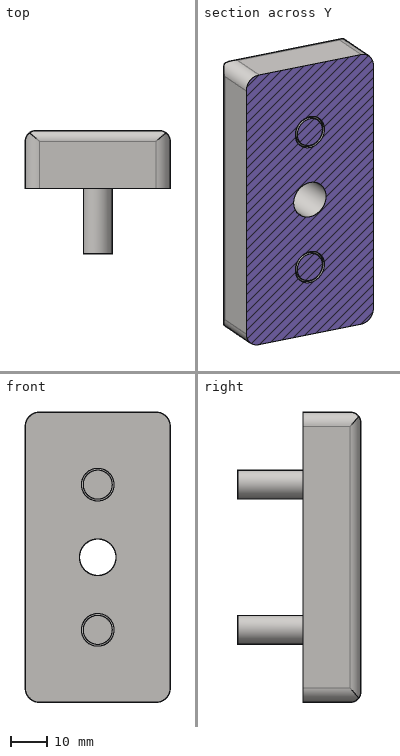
import cadquery as cq

block_width = 40.0
block_depth = 16.0
block_height = 80.0
corner_radius = 4.0
back_edge_radius = 3.0

center_hole_diameter = 10.0

pin_diameter = 8.0
pin_projection = 18.0
pin_spacing = 40.0
recess_diameter = 9.0
recess_depth = 1.5

pin_heights = (-pin_spacing / 2, pin_spacing / 2)


def cylinder_along_y(diameter, start_y, end_y, center_z=0.0):
    """Cylinder parallel to Y, running from start_y to end_y at X = 0."""
    return (
        cq.Workplane("XZ", origin=(0, start_y, center_z))
        .circle(diameter / 2)
        .extrude(start_y - end_y)
    )


def rounded_box(edge_selector, radius):
    """Full-size block with only the selected edges rounded."""
    return (
        cq.Workplane("XY")
        .box(block_width, block_depth, block_height)
        .translate((0, block_depth / 2, 0))
        .edges(edge_selector)
        .fillet(radius)
    )


def make_block():
    """Common volume of three rounded boxes, so that the roundings meet in mitred lines."""
    rounded_corners = rounded_box("|Y", corner_radius)
    rounded_back_sides = rounded_box("|Z and >Y", back_edge_radius)
    rounded_back_ends = rounded_box("|X and >Y", back_edge_radius)
    return rounded_corners.intersect(rounded_back_sides).intersect(rounded_back_ends)


def drill_center_hole(body):
    return body.cut(cylinder_along_y(center_hole_diameter, 0, block_depth))


def add_pin(body, center_z):
    """Sink a clearance recess into the front face and stand a pin on its floor."""
    recess = cylinder_along_y(recess_diameter, 0, recess_depth, center_z)
    pin = cylinder_along_y(pin_diameter, -pin_projection, recess_depth, center_z)
    return body.cut(recess).union(pin)


result = drill_center_hole(make_block())
for pin_height in pin_heights:
    result = add_pin(result, pin_height)